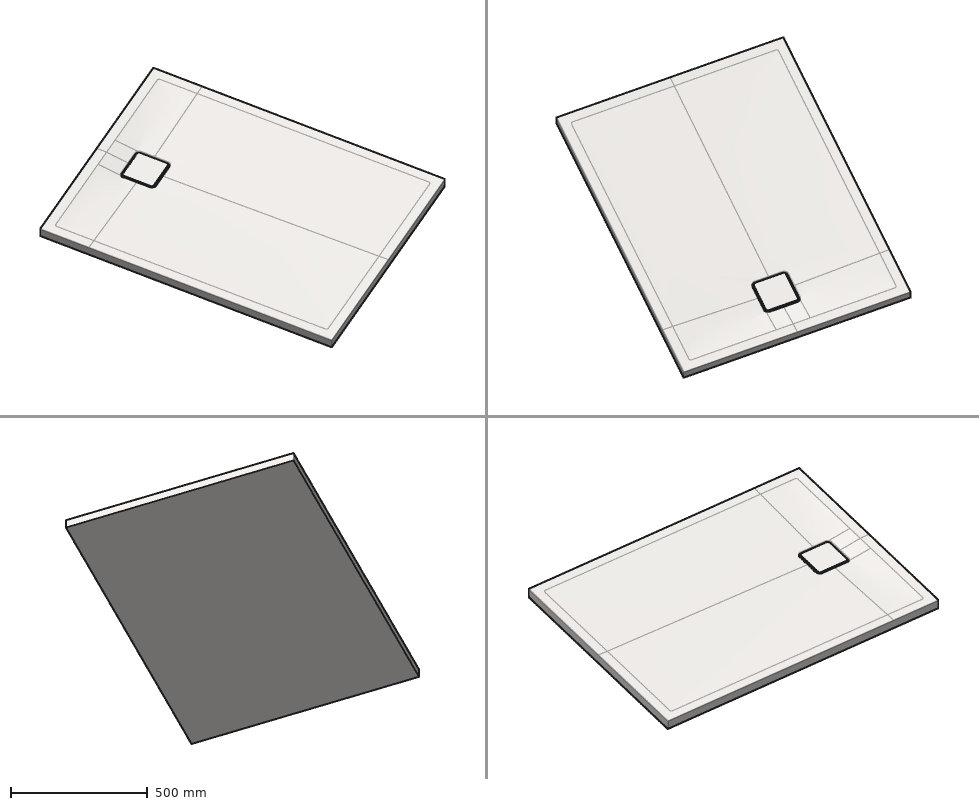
import cadquery as cq
import math

LENGTH = 1200.0
WIDTH = 900.0
HEIGHT = 40.0
RIM_WIDTH = 40.0
RIM_DROP = 1.0
BASIN_CORNER_RADIUS = 7.8
EDGE_RADIUS = 1.0

COVER_SIZE = 128.0
COVER_CORNER_RADIUS = 10.0

DRAIN_X = -LENGTH / 3
DRAIN_LEVEL = 25.0
COVER_GAP = 5.4
RECESS_DEPTH = 7.0
LIP_RADIUS = 3.0

MITRE_POINTS = 5

HALF_LENGTH = LENGTH / 2
HALF_WIDTH = WIDTH / 2
BASIN_HALF_LENGTH = HALF_LENGTH - RIM_WIDTH
BASIN_HALF_WIDTH = HALF_WIDTH - RIM_WIDTH
BASIN_LEVEL = HEIGHT - RIM_DROP
RECESS_SIZE = COVER_SIZE + 2 * COVER_GAP
RECESS_CORNER_RADIUS = COVER_CORNER_RADIUS + COVER_GAP
DRAIN_SIZE = RECESS_SIZE + 2 * LIP_RADIUS
DRAIN_HALF = DRAIN_SIZE / 2
DRAIN_CORNER_RADIUS = RECESS_CORNER_RADIUS + LIP_RADIUS
RECESS_FLOOR = DRAIN_LEVEL - RECESS_DEPTH


def line(start, end):
    return cq.Edge.makeLine(cq.Vector(*start), cq.Vector(*end))


def arc(center, radius, x_side, y_side, z, start_angle, end_angle):
    """Arc in the quadrant (x_side, y_side); angles in degrees, from the X axis towards the Y axis."""
    def point(angle):
        turn = math.radians(angle)
        x = center[0] + x_side * radius * math.cos(turn)
        y = center[1] + y_side * radius * math.sin(turn)
        return cq.Vector(x, y, z)

    middle_angle = (start_angle + end_angle) / 2
    return cq.Edge.makeThreePointArc(point(start_angle), point(middle_angle), point(end_angle))


def points_between(start, end):
    """Evenly spaced points on the straight line between two ends, without the ends."""
    shares = [step / (MITRE_POINTS + 1) for step in range(1, MITRE_POINTS + 1)]
    return [start + (end - start) * share for share in shares]


def patch(*edges, through):
    """Smooth face that spans a closed loop of edges and passes through the given points."""
    return cq.Face.makeNSidedSurface(list(edges), list(through), degree=2, maxSegments=20)


def quadrant_faces(x_side, y_side):
    """Rim and basin floor of the tray quadrant on the given side of the drain centre lines."""
    outer_x = x_side * (HALF_LENGTH - EDGE_RADIUS)
    outer_y = y_side * (HALF_WIDTH - EDGE_RADIUS)
    basin_x = x_side * BASIN_HALF_LENGTH
    basin_y = y_side * BASIN_HALF_WIDTH
    drain_x = DRAIN_X + x_side * DRAIN_HALF
    drain_y = y_side * DRAIN_HALF

    basin_arc_x = basin_x - x_side * BASIN_CORNER_RADIUS
    basin_arc_y = basin_y - y_side * BASIN_CORNER_RADIUS
    drain_arc_x = drain_x - x_side * DRAIN_CORNER_RADIUS
    drain_arc_y = drain_y - y_side * DRAIN_CORNER_RADIUS

    basin_end = (basin_x, 0, BASIN_LEVEL)
    basin_side = (DRAIN_X, basin_y, BASIN_LEVEL)
    drain_end = (drain_x, 0, DRAIN_LEVEL)
    drain_side = (DRAIN_X, drain_y, DRAIN_LEVEL)
    outer_end = (outer_x, 0, HEIGHT)
    outer_side = (DRAIN_X, outer_y, HEIGHT)
    outer_corner = (outer_x, outer_y, HEIGHT)

    basin_arc_start = (basin_x, basin_arc_y, BASIN_LEVEL)
    basin_arc_end = (basin_arc_x, basin_y, BASIN_LEVEL)
    drain_arc_start = (drain_x, drain_arc_y, DRAIN_LEVEL)
    drain_arc_end = (drain_arc_x, drain_y, DRAIN_LEVEL)

    def basin_arc():
        return arc((basin_arc_x, basin_arc_y), BASIN_CORNER_RADIUS, x_side, y_side, BASIN_LEVEL, 0, 90)

    def drain_arc(start_angle, end_angle):
        center = (drain_arc_x, drain_arc_y)
        return arc(center, DRAIN_CORNER_RADIUS, x_side, y_side, DRAIN_LEVEL, start_angle, end_angle)

    basin_corner = basin_arc().positionAt(0.5)
    drain_corner = drain_arc(0, 90).positionAt(0.5)
    rim_mitre = points_between(basin_corner, cq.Vector(*outer_corner))
    floor_mitre = points_between(drain_corner, basin_corner)

    rim = patch(
        line(outer_end, outer_corner),
        line(outer_corner, outer_side),
        line(outer_side, basin_side),
        line(basin_side, basin_arc_end),
        basin_arc(),
        line(basin_arc_start, basin_end),
        line(basin_end, outer_end),
        through=rim_mitre,
    )
    if x_side > 0:
        floor = patch(
            line(basin_end, basin_arc_start),
            basin_arc(),
            line(basin_arc_end, basin_side),
            line(basin_side, drain_side),
            line(drain_side, drain_arc_end),
            drain_arc(0, 90),
            line(drain_arc_start, drain_end),
            line(drain_end, basin_end),
            through=floor_mitre,
        )
        return [rim, floor]

    strip_arc = drain_arc(0, 45)
    strip_drain = strip_arc.endPoint().toTuple()
    strip_basin = (basin_x, strip_drain[1], BASIN_LEVEL)
    strip = patch(
        line(basin_end, strip_basin),
        line(strip_basin, strip_drain),
        strip_arc,
        line(drain_arc_start, drain_end),
        line(drain_end, basin_end),
        through=[],
    )
    floor = patch(
        line(strip_basin, basin_arc_start),
        basin_arc(),
        line(basin_arc_end, basin_side),
        line(basin_side, drain_side),
        line(drain_side, drain_arc_end),
        drain_arc(45, 90),
        line(strip_drain, strip_basin),
        through=floor_mitre,
    )
    return [rim, strip, floor]


def rounded_block(size, corner_radius, bottom, top):
    """Square block with rounded vertical edges, centred on the drain."""
    return (
        cq.Workplane("XY", origin=(DRAIN_X, 0, bottom))
        .rect(size, size)
        .extrude(top - bottom)
        .edges("|Z")
        .fillet(corner_radius)
    )


def drain_recess():
    """Volume of the recess, flaring out to the full drain outline at its rounded lip."""
    lip_bottom = DRAIN_LEVEL - LIP_RADIUS
    well = rounded_block(RECESS_SIZE, RECESS_CORNER_RADIUS, RECESS_FLOOR, DRAIN_LEVEL)
    lip = (
        cq.Workplane("XY", origin=(DRAIN_X, 0, lip_bottom - LIP_RADIUS))
        .rect(DRAIN_SIZE + 24, DRAIN_SIZE + 24)
        .extrude(2 * LIP_RADIUS)
        .cut(well)
        .faces(">Z")
        .edges("not(<X or >X or <Y or >Y)")
        .fillet(LIP_RADIUS)
    )
    flare = rounded_block(DRAIN_SIZE, DRAIN_CORNER_RADIUS, lip_bottom, DRAIN_LEVEL).cut(lip)
    return well.union(flare)


def rounded_envelope():
    """Tray block with the rounding of its upright and upper edges."""
    return (
        cq.Workplane("XY")
        .box(LENGTH, WIDTH, HEIGHT, centered=(True, True, False))
        .edges("|Z")
        .fillet(EDGE_RADIUS)
        .faces(">Z")
        .edges()
        .fillet(EDGE_RADIUS)
    )


def make_tray():
    sides_and_underside = rounded_envelope().faces("not(>Z)").vals()
    drain_top = rounded_block(DRAIN_SIZE, DRAIN_CORNER_RADIUS, 0, DRAIN_LEVEL).faces(">Z").val()
    faces = [*sides_and_underside, drain_top]
    for x_side in (-1, 1):
        for y_side in (-1, 1):
            faces += quadrant_faces(x_side, y_side)
    body = cq.Solid.makeSolid(cq.Shell.makeShell(faces)).fix()
    return cq.Workplane(body).cut(drain_recess())


def make_cover():
    return rounded_block(COVER_SIZE, COVER_CORNER_RADIUS, RECESS_FLOOR, DRAIN_LEVEL)


tray = make_tray()
cover = make_cover()

result = cq.Compound.makeCompound([tray.val(), cover.val()])